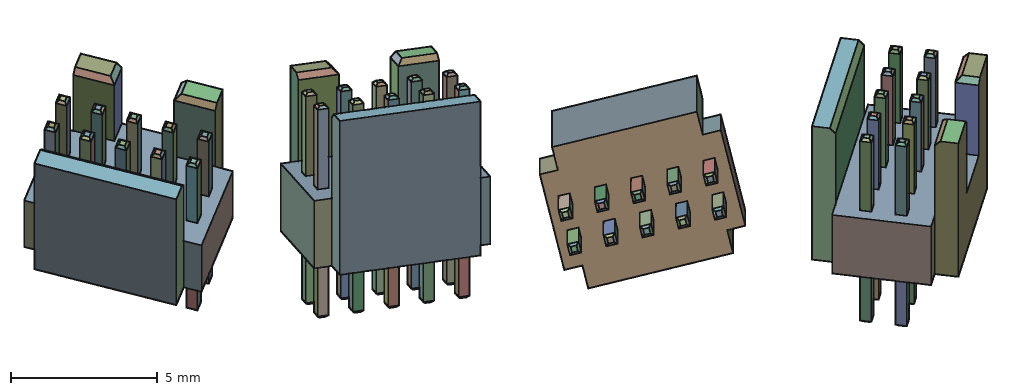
import cadquery as cq

columns = 5
rows = 2
column_pitch = 1.27
row_pitch = 1.23
row_offset = -0.02

overall_height = 7.99
overall_depth = 5.08

block_length = columns * column_pitch
block_depth = 3.435
block_height = 2.5

wall_length = (columns - 1) * column_pitch
wall_thickness = (overall_depth - block_depth) / 2
wall_offset = (block_depth + wall_thickness) / 2
wall_chamfer = 0.2

key_gap = 2.13
post_length = (wall_length - key_gap) / 2
post_offset = (key_gap + post_length) / 2

pin_width = 0.4
pin_tail = 2.29
pin_tip_drop = 0.15
pin_length = overall_height - pin_tip_drop
pin_chamfer = 0.095

wall_height = overall_height - pin_tail


def standing_box(length, depth, height, x=0, y=0, z=0):
    """Box centred on (x, y) with its underside at z."""
    box = cq.Workplane("XY").box(length, depth, height, centered=(True, True, False))
    return box.translate((x, y, z))


def make_front_wall():
    """Full-length wall with its inner top edge chamfered."""
    wall = standing_box(wall_length, wall_thickness, wall_height, y=-wall_offset)
    return wall.faces(">Z").edges(">Y").chamfer(wall_chamfer)


def make_back_post(side):
    """Post on one side (-1 or 1) of the key gap, chamfered towards the block and the gap."""
    post = standing_box(post_length, wall_thickness, wall_height, side * post_offset, wall_offset)
    gap_edge = "<X" if side > 0 else ">X"
    top = post.faces(">Z")
    return top.edges("<Y").add(top.edges(gap_edge)).chamfer(wall_chamfer)


def make_pin(x, y):
    """Square pin with both ends chamfered all round."""
    pin = standing_box(pin_width, pin_width, pin_length, x, y, -pin_tail)
    return pin.faces("<Z or >Z").edges().chamfer(pin_chamfer)


result = standing_box(block_length, block_depth, block_height)
key_floor = standing_box(wall_length, wall_thickness, block_height, y=wall_offset)
result = result.union(key_floor).union(make_front_wall())
for side in (-1, 1):
    result = result.union(make_back_post(side))

for column in range(columns):
    for row in range(rows):
        pin_x = (column - (columns - 1) / 2) * column_pitch
        pin_y = (row - (rows - 1) / 2) * row_pitch + row_offset
        result = result.union(make_pin(pin_x, pin_y))